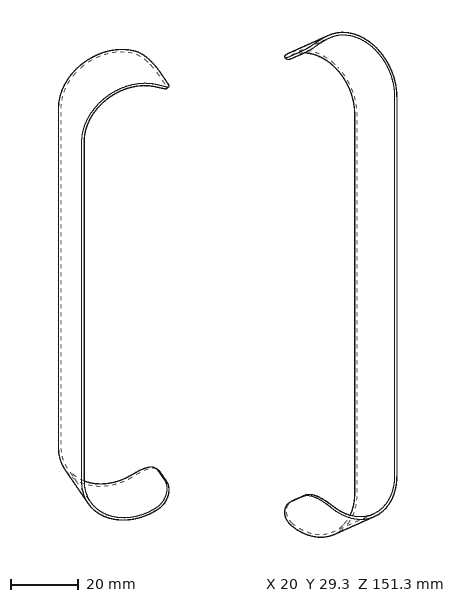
import cadquery as cq
import math

width = 20.0
thickness = 0.85
height = 151.28
depth = 29.34
outer_radius = 16.5
corner_radius = 7.0
cutter_margin = 1.0

inner_radius = outer_radius - thickness
bend_center_z = height / 2 - outer_radius
tip_angle = math.asin((depth - outer_radius) / outer_radius)


def hook_direction(angle, side):
    """Outward direction (Y, Z) from a bend axis; angle runs from the crown towards the tip (+Y).

    side is +1 for the upper hook and -1 for the lower one.
    """
    return (math.sin(angle), side * math.cos(angle))


def hook_point(radius, angle, side):
    """Point (Y, Z) on a hook whose bend axis lies at Y = 0."""
    y, z = hook_direction(angle, side)
    return (radius * y, side * bend_center_z + radius * z)


def bent_strip():
    """Flat strip with a hook at each end, cut square to the sheet at the tips."""
    crown = 0.0
    profile = (
        cq.Workplane("YZ")
        .moveTo(-outer_radius, -bend_center_z)
        .lineTo(-outer_radius, bend_center_z)
        .threePointArc(hook_point(outer_radius, crown, 1), hook_point(outer_radius, tip_angle, 1))
        .lineTo(*hook_point(inner_radius, tip_angle, 1))
        .threePointArc(hook_point(inner_radius, crown, 1), (-inner_radius, bend_center_z))
        .lineTo(-inner_radius, -bend_center_z)
        .threePointArc(hook_point(inner_radius, crown, -1), hook_point(inner_radius, tip_angle, -1))
        .lineTo(*hook_point(outer_radius, tip_angle, -1))
        .threePointArc(hook_point(outer_radius, crown, -1), (-outer_radius, -bend_center_z))
        .close()
    )
    return profile.extrude(width / 2, both=True)


def corner_cutter(side, end):
    """Waste outside the corner arc at one tip, as a prism running through the sheet.

    side picks the upper (+1) or lower (-1) hook, end picks the +X or -X corner.
    """
    outward = cq.Vector(0, *hook_direction(tip_angle, side))
    tip = cq.Vector(0, *hook_point(outer_radius, tip_angle, side))
    sheet_plane = cq.Plane(origin=tip, xDir=(end, 0, 0), normal=outward)
    past_tip = side * end
    arc_start_x = width / 2 - corner_radius
    cutter_reach = corner_radius + cutter_margin
    arc_mid = corner_radius * math.sqrt(0.5)
    return (
        cq.Workplane(sheet_plane)
        .moveTo(arc_start_x, 0)
        .threePointArc(
            (arc_start_x + arc_mid, past_tip * (arc_mid - corner_radius)),
            (width / 2, -past_tip * corner_radius),
        )
        .lineTo(width / 2 + cutter_margin, -past_tip * corner_radius)
        .lineTo(width / 2 + cutter_margin, past_tip * cutter_margin)
        .lineTo(arc_start_x, past_tip * cutter_margin)
        .close()
        .extrude(cutter_reach, both=True)
    )


result = bent_strip()
for hook_side in (1, -1):
    for width_end in (1, -1):
        result = result.cut(corner_cutter(hook_side, width_end))